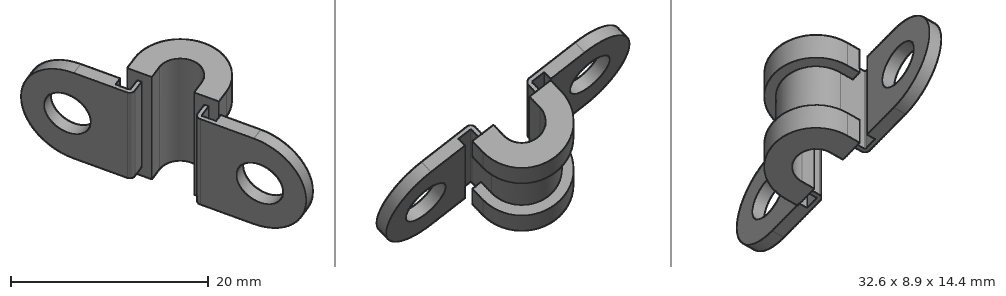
import cadquery as cq

length = 32.6
depth = 8.9

cushion_height = 14.4
cushion_radius = 5.25
bore_radius = 2.4
cushion_foot = 2.05
arch_center = depth - cushion_radius

groove_height = 7.35
strap_radius = 4.08

sheet = 0.5
bend_inner_radius = 0.1
bend_outer_radius = bend_inner_radius + sheet
tab_height = 12.03
tab_thickness = 1.5
tab_start = 5.75
tab_round_center = (length - tab_height) / 2
hole_offset = 11.0
hole_diameter = 5.3


def arch(radius, height):
    """Solid half-round arch with straight sides down to the cushion foot."""
    return (
        cq.Workplane("XY", origin=(0, 0, -height / 2))
        .moveTo(-radius, cushion_foot)
        .lineTo(-radius, arch_center)
        .threePointArc((0, arch_center + radius), (radius, arch_center))
        .lineTo(radius, cushion_foot)
        .close()
        .extrude(height)
    )


def make_cushion():
    """Cushion with a round bore and a shallower middle band for the strap."""
    groove = arch(cushion_radius, groove_height).cut(arch(strap_radius, groove_height))
    bore = arch(bore_radius, cushion_height)
    return arch(cushion_radius, cushion_height).cut(groove).cut(bore)


def make_mount():
    """Right-hand strap leg, bend and rounded mounting tab."""
    leg_inner = strap_radius - sheet
    bent_sheet = (
        cq.Workplane("XY", origin=(0, 0, -tab_height / 2))
        .moveTo(leg_inner, cushion_foot)
        .lineTo(leg_inner, bend_outer_radius)
        .radiusArc((leg_inner + bend_outer_radius, 0), -bend_outer_radius)
        .lineTo(tab_start, 0)
        .lineTo(tab_start, sheet)
        .lineTo(strap_radius + bend_inner_radius, sheet)
        .radiusArc((strap_radius, sheet + bend_inner_radius), bend_inner_radius)
        .lineTo(strap_radius, cushion_foot)
        .close()
        .extrude(tab_height)
    )
    half_height = tab_height / 2
    tab = (
        cq.Workplane("XZ")
        .moveTo(tab_start, -half_height)
        .lineTo(tab_round_center, -half_height)
        .threePointArc((length / 2, 0), (tab_round_center, half_height))
        .lineTo(tab_start, half_height)
        .close()
        .moveTo(hole_offset, 0)
        .circle(hole_diameter / 2)
        .extrude(-tab_thickness)
    )
    return bent_sheet.union(tab)


mount = make_mount()
result = make_cushion().union(mount).union(mount.mirror("YZ"))